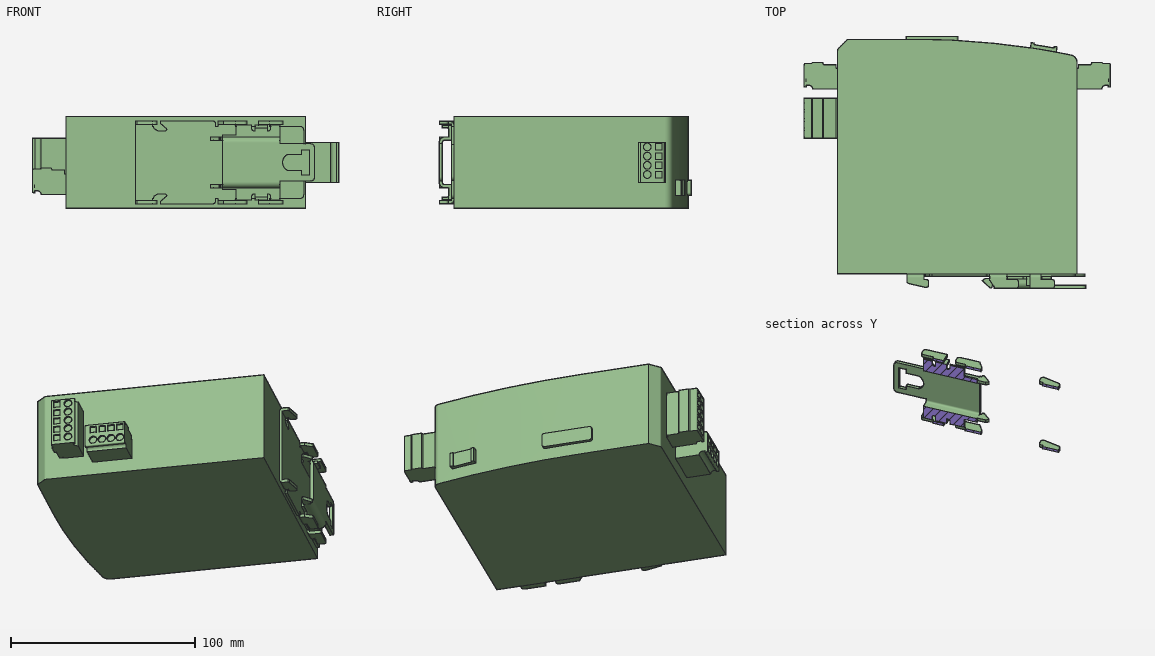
import cadquery as cq
import math


CASE_LENGTH = 130.1
CASE_DEPTH = 127.3
CASE_HEIGHT = 50.0
CHAMFER = 5.5
CHAMFER_ROUND = 1.7
CURVE_START = 43.5
CURVE_RADIUS = 416.0
FRONT_CORNER_RADIUS = 4.2

LABEL_LEFT = 37.3
LABEL_LENGTH = 28.3
LABEL_RAISE = 1.7
LABEL_BOTTOM = -18.0
LABEL_HEIGHT = 8.3
LABEL_CORNER = 1.5
BEZEL_CENTRE_X = 111.8
BEZEL_LENGTH = 14.3
BEZEL_RAISE = 2.0
BEZEL_LIP_WIDTH = 1.7
BEZEL_LIP_RAISE = 0.8
EMBED = 1.7

OVERHANG = (166.4 - CASE_LENGTH) / 2
POLE_PITCH = 5.0
PLUG_DEPTH = 14.5
RIDGE_NEAR = 8.0
RIDGE_FAR = 13.5
LATCH_STEP = 0.5
PLUG_EDGE_RADIUS = 1.0
LIP_ROUND = 0.5
SHOULDER_STEP = 1.2
GROOVE_WIDTH = 0.7
GROOVE_DEPTH = 2.0
NOTCH_RADIUS = 2.0
LIP_WIDTH = 1.3
LIP_SETBACK = 1.0
FIRST_POLE = 2.5
WIRE_DIAMETER = 4.2
WIRE_OFFSET = 9.8
RELEASE_SIZE = 3.5
RELEASE_OFFSET = 3.7
PORT_DEPTH = 1.2
TALL_PLUG_LENGTH = 26.5
SHORT_PLUG_LENGTH = 21.8
PLUG_RIDGE_Y = 114.8
TALL_PLUG_TOP = 13.1
LYING_PLUG_FRONT = 95.3
LYING_PLUG_RIDGE_Z = -3.0

PLATE_THICKNESS = 1.3
PLATE_LEFT = 37.8
PLATE_WIDE_LEFT = 49.6
PLATE_WIDE_RIGHT = 81.2
PLATE_RIGHT = 129.1
PLATE_HALF_WIDTH = 22.5
PLATE_NARROW_HALF = 19.6
PLATE_CORNER = 2.2
PLATE_WIDE_CORNER = 1.3
PULL_TAB_RIGHT = 134.5
PULL_TAB_HALF = 9.8
RELIEF_GAP = 1.7
RELIEF_TOP = 21.3
RELIEF_BOTTOM = 17.1
HOOK_THICKNESS = 1.8
HOOK_BEND_RADIUS = 2.2
HOOK_END_RADIUS = 1.5
HOOK_INNER = PLATE_HALF_WIDTH - HOOK_THICKNESS
BLADE_TOP = -3.0
BLADE_BOTTOM = -7.8
LEFT_ROOT_RIGHT = 47.1
HOOK_BEND_Y = -2.3
CLIP_BOTTOM = -8.0

SLIDE_THICKNESS = 1.5
SHEET_THICKNESS = 1.8
SLIDE_LEFT = 92.4
SLIDE_RIGHT = 116.1
SLIDE_HALF_WIDTH = 20.3
CHANNEL_LEFT = 85.0
CHANNEL_HALF_WIDTH = 13.8
CHANNEL_BEND = 3.0
FOOT_HALF_WIDTH = 14.8
FOOT_BEND = 0.5
TOOTH_TOP = -2.5
TOOTH_STEP = -6.5
TONGUE_RIGHT = 135.0
TONGUE_HALF_WIDTH = 10.2
TONGUE_CORNER = 2.2
LEG_LEFT = 102.7
LEG_RIGHT = 109.3
LEG_THICKNESS = 1.5
LEG_BEND = 1.0
LEG_SLOT_ROUND = 1.3
LEG_BOTTOM = -6.3
LEG_SLOT_LEFT = 100.8
LEG_SLOT_RIGHT = 111.2
LEG_SLOT_HALF = 17.1


def box(x0, x1, y0, y1, z0, z1):
    """Block between two opposite corners."""
    return cq.Workplane("XY").box(x1 - x0, y1 - y0, z1 - z0, centered=False).translate((x0, y0, z0))


def extrude_z(outline, z0, z1):
    """Solid between two heights from a list of (x, y) points."""
    return cq.Workplane("XY").workplane(offset=z0).polyline(outline).close().extrude(z1 - z0)


def extrude_y(outline, y0, y1):
    """Solid between two Y values from a list of (x, z) points."""
    return cq.Workplane("XZ").workplane(offset=-y1).polyline(outline).close().extrude(y1 - y0)


def both_sides(shape):
    """Shape joined with its mirror image across the mid-height plane."""
    return shape.union(shape.mirror("XY"))


def curve_tilt(x):
    """Angle in radians by which the curved front falls away at X."""
    return math.asin((x - CURVE_START) / CURVE_RADIUS)


def curve_point(x):
    """Point (x, y) on the curved front."""
    return x, CASE_DEPTH - CURVE_RADIUS * (1 - math.cos(curve_tilt(x)))


def make_case():
    right_end = curve_point(CASE_LENGTH)
    body = (
        cq.Workplane("XY")
        .workplane(offset=-CASE_HEIGHT / 2)
        .moveTo(0, 0)
        .lineTo(0, CASE_DEPTH - CHAMFER)
        .lineTo(CHAMFER, CASE_DEPTH)
        .lineTo(CURVE_START, CASE_DEPTH)
        .threePointArc(curve_point((CURVE_START + CASE_LENGTH) / 2), right_end)
        .lineTo(CASE_LENGTH, 0)
        .close()
        .extrude(CASE_HEIGHT)
    )
    body = body.edges(cq.NearestToPointSelector((*right_end, 0))).fillet(FRONT_CORNER_RADIUS)
    return body.edges(cq.NearestToPointSelector((0, CASE_DEPTH - CHAMFER, 0))).fillet(CHAMFER_ROUND)


def make_label():
    plate = box(
        LABEL_LEFT, LABEL_LEFT + LABEL_LENGTH,
        CASE_DEPTH - EMBED, CASE_DEPTH + LABEL_RAISE,
        LABEL_BOTTOM, LABEL_BOTTOM + LABEL_HEIGHT,
    )
    return plate.edges("|Y").fillet(LABEL_CORNER)


def make_bezel():
    """Plate square to the curved front, with a raised lip at each end."""
    half = BEZEL_LENGTH / 2
    lip_top = BEZEL_RAISE + BEZEL_LIP_RAISE
    bar = box(-half, half, -EMBED, BEZEL_RAISE, 0, LABEL_HEIGHT)
    for start in (-half, half - BEZEL_LIP_WIDTH):
        bar = bar.union(box(start, start + BEZEL_LIP_WIDTH, 0, lip_top, 0, LABEL_HEIGHT))
    tilt = math.degrees(curve_tilt(BEZEL_CENTRE_X))
    return bar.rotate((0, 0, 0), (0, 0, 1), -tilt).translate((*curve_point(BEZEL_CENTRE_X), LABEL_BOTTOM))


def make_plug(length):
    """Plug pointing to -X with its ridge on Y = 0, standing from Z = -length to Z = 0."""
    lip_y = -PLUG_DEPTH + LIP_SETBACK
    body = (
        cq.Workplane("XY")
        .moveTo(EMBED, -SHOULDER_STEP)
        .lineTo(-RIDGE_NEAR + LATCH_STEP, -SHOULDER_STEP)
        .lineTo(-RIDGE_NEAR, 0)
        .lineTo(-RIDGE_FAR, 0)
        .lineTo(-RIDGE_FAR - LATCH_STEP, -LATCH_STEP)
        .lineTo(-OVERHANG, -LATCH_STEP)
        .lineTo(-OVERHANG, lip_y)
        .lineTo(-OVERHANG + LIP_WIDTH, lip_y)
        .lineTo(-OVERHANG + LIP_WIDTH, -PLUG_DEPTH + NOTCH_RADIUS)
        .lineTo(-RIDGE_FAR - NOTCH_RADIUS, -PLUG_DEPTH + NOTCH_RADIUS)
        .radiusArc((-RIDGE_FAR, -PLUG_DEPTH), NOTCH_RADIUS)
        .lineTo(EMBED, -PLUG_DEPTH)
        .close()
        .extrude(-length)
    )
    mid_z = -length / 2
    top_edge = cq.NearestToPointSelector((-OVERHANG, -LATCH_STEP, mid_z))
    lip_edge = cq.NearestToPointSelector((-OVERHANG, lip_y, mid_z))
    body = body.edges(top_edge).fillet(PLUG_EDGE_RADIUS).edges(lip_edge).fillet(LIP_ROUND)
    body = body.cut(box(-GROOVE_WIDTH, 0, -SHOULDER_STEP - GROOVE_DEPTH, 0, -length, 0))
    half = RELEASE_SIZE / 2
    pole_count = math.floor(length / POLE_PITCH)
    for pole in range(pole_count):
        z = -FIRST_POLE - pole * POLE_PITCH
        wire_port = cq.Workplane("YZ").center(-WIRE_OFFSET, z).circle(WIRE_DIAMETER / 2).extrude(PORT_DEPTH)
        body = body.cut(wire_port.translate((-OVERHANG, 0, 0)))
        body = body.cut(box(
            -OVERHANG, -OVERHANG + PORT_DEPTH,
            -RELEASE_OFFSET - half, -RELEASE_OFFSET + half,
            z - half, z + half,
        ))
    return body


def make_plugs():
    tall = make_plug(TALL_PLUG_LENGTH).translate((0, PLUG_RIDGE_Y, TALL_PLUG_TOP))
    short = make_plug(SHORT_PLUG_LENGTH)
    lying = short.rotate((0, 0, 0), (1, 0, 0), 90)
    lying = lying.translate((0, LYING_PLUG_FRONT - SHORT_PLUG_LENGTH, LYING_PLUG_RIDGE_Z))
    right = short.mirror("YZ").translate((CASE_LENGTH, PLUG_RIDGE_Y, SHORT_PLUG_LENGTH / 2))
    return [tall, lying, right]


def make_plate():
    """Flat base plate of the rail clip, with a slanted relief beside each left hook."""
    wide = box(
        PLATE_WIDE_LEFT, PLATE_WIDE_RIGHT, -PLATE_THICKNESS, 0, -PLATE_HALF_WIDTH, PLATE_HALF_WIDTH
    )
    relief = both_sides(extrude_y(
        [
            (PLATE_WIDE_LEFT, PLATE_HALF_WIDTH),
            (PLATE_WIDE_LEFT + RELIEF_GAP, PLATE_HALF_WIDTH),
            (PLATE_WIDE_LEFT + RELIEF_GAP, RELIEF_TOP),
            (54.9, RELIEF_BOTTOM + 0.8),
            (54.0, RELIEF_BOTTOM),
            (50.0, RELIEF_BOTTOM),
            (48.0, 18.3),
            (LEFT_ROOT_RIGHT, HOOK_INNER),
            (PLATE_WIDE_LEFT, HOOK_INNER),
        ],
        -PLATE_THICKNESS, 0,
    ))
    wide = wide.edges("|Y and >X").fillet(PLATE_WIDE_CORNER).cut(relief)
    narrow = box(
        PLATE_LEFT, PLATE_RIGHT, -PLATE_THICKNESS, 0, -PLATE_NARROW_HALF, PLATE_NARROW_HALF
    )
    narrow = narrow.edges("|Y and >X").fillet(PLATE_CORNER).cut(relief)
    tab = box(SLIDE_RIGHT, PULL_TAB_RIGHT, -PLATE_THICKNESS, 0, -PULL_TAB_HALF, PULL_TAB_HALF)
    tab = tab.edges("|Y and >X").fillet(PLATE_CORNER)
    return wide.union(narrow).union(tab)


def make_hook(left, root_right, blade_right, leading_edge):
    """Pair of hooks: a root bent off the plate edge, and a blade reaching to -Y.

    leading_edge lists the blade corners from below the bend to the blade's lower edge.
    """
    root_inner = PLATE_NARROW_HALF - HOOK_THICKNESS
    root = box(left, root_right, HOOK_BEND_Y, 0, root_inner, PLATE_HALF_WIDTH)
    root = root.edges("|X and >Z and >Y").fillet(HOOK_BEND_RADIUS)
    root = root.cut(box(left, root_right, HOOK_BEND_Y, -PLATE_THICKNESS, root_inner, HOOK_INNER))
    outline = [
        (left, HOOK_BEND_Y),
        *leading_edge,
        (blade_right, BLADE_BOTTOM),
        (blade_right, BLADE_TOP),
        (root_right, BLADE_TOP),
        (root_right, HOOK_BEND_Y),
    ]
    blade = extrude_z(outline, HOOK_INNER, PLATE_HALF_WIDTH)
    blade = blade.edges("|Z and >X").fillet(HOOK_END_RADIUS)
    return both_sides(root.union(blade))


def make_hooks():
    middle_left = 82.7
    right_left = 104.5
    return [
        make_hook(PLATE_LEFT, LEFT_ROOT_RIGHT, 49.6, [(PLATE_LEFT, -4.7), (PLATE_LEFT + 0.8, -5.3)]),
        make_hook(middle_left, 92.0, 98.3, [(middle_left, -3.5), (middle_left + 2.8, BLADE_BOTTOM)]),
        make_hook(right_left, 110.7, 118.0, [(right_left, BLADE_BOTTOM)]),
    ]


def make_channel():
    """Channel of the slide: two walls joined by a web, with bent outer corners."""
    foot_y = -PLATE_THICKNESS
    outer = box(
        CHANNEL_LEFT, SLIDE_RIGHT, CLIP_BOTTOM, foot_y, -CHANNEL_HALF_WIDTH, CHANNEL_HALF_WIDTH
    )
    outer = outer.edges("|X and <Y").fillet(CHANNEL_BEND)
    inner_half = CHANNEL_HALF_WIDTH - SHEET_THICKNESS
    inner = box(
        CHANNEL_LEFT, SLIDE_RIGHT, CLIP_BOTTOM + SHEET_THICKNESS, foot_y, -inner_half, inner_half
    )
    inner = inner.edges("|X and <Y").fillet(CHANNEL_BEND - SHEET_THICKNESS)
    return outer.cut(inner)


def make_tongue():
    """Pull tongue continuing the channel web, with an arrow-shaped opening."""
    y1 = CLIP_BOTTOM + SHEET_THICKNESS
    tongue = box(
        CHANNEL_LEFT, TONGUE_RIGHT, CLIP_BOTTOM, y1, -TONGUE_HALF_WIDTH, TONGUE_HALF_WIDTH
    )
    tongue = tongue.edges("|Y and >X").fillet(TONGUE_CORNER)
    tip, shoulder, neck, end = 117.6, 120.3, 127.8, 132.1
    shaft_half, head_half = 4.3, 6.8
    opening = (
        cq.Workplane("XZ")
        .workplane(offset=-y1)
        .moveTo(shoulder, shaft_half)
        .lineTo(neck, shaft_half)
        .lineTo(neck, head_half)
        .lineTo(end, head_half)
        .lineTo(end, -head_half)
        .lineTo(neck, -head_half)
        .lineTo(neck, -shaft_half)
        .lineTo(shoulder, -shaft_half)
        .threePointArc((tip, 0), (shoulder, shaft_half))
        .close()
        .extrude(SHEET_THICKNESS)
    )
    return tongue.cut(opening)


def make_slide():
    y1 = -PLATE_THICKNESS
    y0 = y1 - SLIDE_THICKNESS
    wall_inner = CHANNEL_HALF_WIDTH - SHEET_THICKNESS
    leg_inner = SLIDE_HALF_WIDTH - LEG_THICKNESS
    foot = box(CHANNEL_LEFT, SLIDE_RIGHT, y0, y1, wall_inner, FOOT_HALF_WIDTH)
    flange = box(SLIDE_LEFT, SLIDE_RIGHT, y0, y1, wall_inner, SLIDE_HALF_WIDTH)
    slot = box(LEG_SLOT_LEFT, LEG_SLOT_RIGHT, y0, y1, LEG_SLOT_HALF, SLIDE_HALF_WIDTH)
    slot = slot.edges("|Y and <Z").fillet(LEG_SLOT_ROUND)
    leg_root = box(LEG_LEFT, LEG_RIGHT, y0, y1, LEG_SLOT_HALF, SLIDE_HALF_WIDTH)
    leg = box(LEG_LEFT, LEG_RIGHT, LEG_BOTTOM, y1, leg_inner, SLIDE_HALF_WIDTH)
    leg_mid = (LEG_LEFT + LEG_RIGHT) / 2
    leg = leg.union(leg_root).edges(cq.NearestToPointSelector((leg_mid, y0, leg_inner))).fillet(LEG_BEND)
    tooth = extrude_z(
        [
            (78.5, -3.7),
            (80.2, TOOTH_TOP),
            (CHANNEL_LEFT, TOOTH_TOP),
            (CHANNEL_LEFT, TOOTH_STEP),
            (84.2, TOOTH_STEP),
            (83.7, BLADE_BOTTOM),
            (83.0, BLADE_BOTTOM),
        ],
        wall_inner, CHANNEL_HALF_WIDTH,
    )
    side = foot.union(flange).cut(slot).union(leg).union(tooth)
    slide = make_channel().union(make_tongue()).union(both_sides(side))
    slide_mid = (SLIDE_LEFT + SLIDE_RIGHT) / 2
    for z in (-CHANNEL_HALF_WIDTH, CHANNEL_HALF_WIDTH):
        slide = slide.edges(cq.NearestToPointSelector((slide_mid, y0, z))).fillet(FOOT_BEND)
    return slide


result = make_case().union(make_label()).union(make_bezel())
for part in [*make_plugs(), make_plate(), *make_hooks(), make_slide()]:
    result = result.union(part)